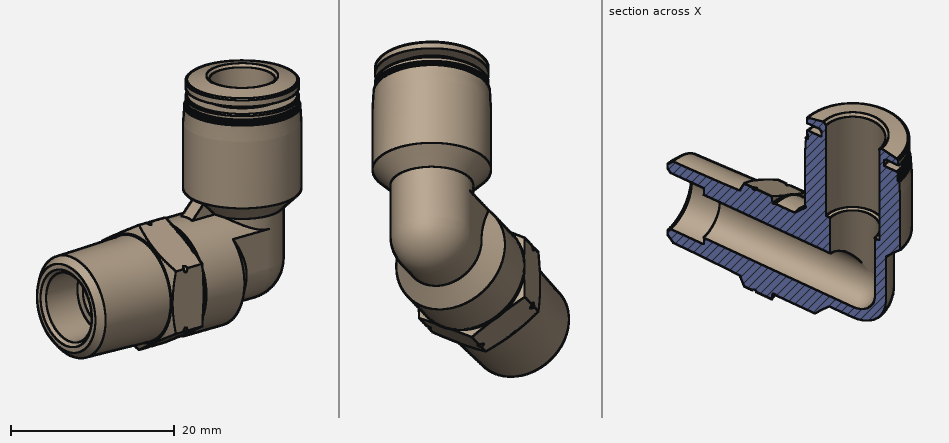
import cadquery as cq
import math


hex_corner_radius = 16.25 / 2

passage_radius = 6.7 / 2
tube_bore_radius = 8.0 / 2
tube_bore_mouth_radius = 8.78 / 2
tube_bore_floor_z = 9.05
thread_bore_radius = 8.78 / 2
thread_bore_mouth_radius = 4.85
thread_bore_depth = 5.45

overall_top_z = 31.8 - hex_corner_radius
ring_radius = 13.9 / 2
ring_edge_z = 23.0
ring_edge_chamfer = 0.2
ring_bottom_z = 22.17
ring_fillet_radius = 5.05
ring_fillet_bottom_z = 21.93
neck_radius = 9.5 / 2
cap_top_z = 21.15
cap_radius = ring_radius
cap_chamfer = 0.2
cap_groove_top_z = 20.45
cap_groove_width = 0.2
groove_depth = 0.15
cap_bottom_z = 19.95
socket_top_z = 19.78
socket_top_radius = 7.12
socket_taper_bottom_z = 17.65
socket_radius = 14.5 / 2
socket_bottom_z = 9.05
elbow_radius = 5.08
elbow_top_z = socket_bottom_z - (socket_radius - elbow_radius)

body_radius = socket_radius
body_start = 5.7
body_cone_start = body_start - (body_radius - elbow_radius)
body_end = 11.75
body_relief_radius = 7.12
gusset_width = 2.1
gusset_reach = 15.97

hex_start = 12.05
hex_end = 17.03
hex_back_radius = 7.12
hex_back_chamfer = 0.18
hex_front_radius = 13.8 / 2
hex_front_chamfer = 0.6
corner_groove_position = 14.88
corner_groove_radius = 0.3
corner_groove_depth = 0.23
thread_start_radius = 6.75
thread_end_radius = 6.45
thread_chamfer = 0.88
part_end = 35.25 - socket_radius


def revolve_z(points):
    """Revolve (radius, z) points, closed along the axis, about Z."""
    outline = [(0, points[0][1])] + points + [(0, points[-1][1])]
    return cq.Workplane("XZ").polyline(outline).close().revolve(360, (0, 0), (0, 1))


def revolve_y(points):
    """Revolve (radius, distance toward -Y) points about Y."""
    return revolve_z(points).rotate((0, 0, 0), (1, 0, 0), 90)


def make_socket():
    cap_groove_bottom_z = cap_groove_top_z - cap_groove_width
    return revolve_z([
        (elbow_radius, 0),
        (elbow_radius, elbow_top_z),
        (socket_radius, socket_bottom_z),
        (socket_radius, socket_taper_bottom_z),
        (socket_top_radius, socket_top_z),
        (cap_radius - groove_depth, socket_top_z),
        (cap_radius - groove_depth, cap_bottom_z),
        (cap_radius, cap_bottom_z),
        (cap_radius, cap_groove_bottom_z),
        (cap_radius - groove_depth, cap_groove_bottom_z),
        (cap_radius - groove_depth, cap_groove_top_z),
        (cap_radius, cap_groove_top_z),
        (cap_radius, cap_top_z - cap_chamfer),
        (cap_radius - cap_chamfer, cap_top_z),
        (neck_radius, cap_top_z),
        (neck_radius, ring_fillet_bottom_z),
        (ring_fillet_radius, ring_bottom_z),
        (ring_radius, ring_bottom_z),
        (ring_radius, ring_edge_z),
        (ring_radius - ring_edge_chamfer, ring_edge_z + ring_edge_chamfer),
        (tube_bore_mouth_radius, overall_top_z),
    ])


def make_body():
    """Elbow ball, round horizontal body and the flat-sided saddle over the elbow."""
    barrel = revolve_y([
        (elbow_radius, 0),
        (elbow_radius, body_cone_start),
        (body_radius, body_start),
        (body_radius, body_end),
        (body_relief_radius, body_end),
        (body_relief_radius, hex_start),
    ])
    saddle = revolve_y([(body_radius, 0), (body_radius, body_start)])
    saddle_limits = cq.Workplane("XY").box(
        2 * elbow_radius, body_start, body_radius, centered=(True, False, False)
    ).translate((0, -body_start, 0))
    return barrel.union(saddle.intersect(saddle_limits)).union(cq.Workplane("XY").sphere(elbow_radius))


def make_gusset():
    """Rib with a 45 degree face joining the socket to the horizontal body."""
    outline = [
        (0, 0),
        (-gusset_reach, 0),
        (socket_bottom_z - gusset_reach, socket_bottom_z),
        (-elbow_radius, elbow_top_z),
        (0, elbow_top_z),
    ]
    return cq.Workplane("YZ").polyline(outline).close().extrude(gusset_width / 2, both=True)


def make_hexagon():
    """Hexagon with turned chamfers and a round groove that only reaches its corners."""
    corners = [
        (hex_corner_radius * math.sin(math.radians(60 * i)), hex_corner_radius * math.cos(math.radians(60 * i)))
        for i in range(6)
    ]
    prism = cq.Workplane("XZ", origin=(0, -hex_start, 0)).polyline(corners).close().extrude(hex_end - hex_start)
    chamfer_envelope = revolve_y([
        (hex_back_radius, hex_start),
        (hex_corner_radius, hex_start + hex_back_chamfer),
        (hex_corner_radius, hex_end - hex_front_chamfer),
        (hex_front_radius, hex_end),
    ])
    groove_center_radius = hex_corner_radius + corner_groove_radius - corner_groove_depth
    corner_groove = cq.Solid.makeTorus(
        groove_center_radius, corner_groove_radius, cq.Vector(0, -corner_groove_position, 0), cq.Vector(0, 1, 0)
    )
    return prism.intersect(chamfer_envelope).cut(cq.Workplane(corner_groove))


def make_thread_end():
    return revolve_y([
        (thread_start_radius, hex_end),
        (thread_end_radius, part_end - thread_chamfer),
        (thread_end_radius - thread_chamfer, part_end),
    ])


def make_bores():
    """Both stepped bores, meeting in a ball at the elbow."""
    tube_chamfer = tube_bore_mouth_radius - tube_bore_radius
    tube_bore = revolve_z([
        (passage_radius, 0),
        (passage_radius, tube_bore_floor_z),
        (tube_bore_radius, tube_bore_floor_z),
        (tube_bore_radius, overall_top_z - tube_chamfer),
        (tube_bore_mouth_radius, overall_top_z),
    ])
    thread_bore_floor = part_end - thread_bore_depth
    thread_bore_chamfer = thread_bore_mouth_radius - thread_bore_radius
    thread_bore = revolve_y([
        (passage_radius, 0),
        (passage_radius, thread_bore_floor),
        (thread_bore_radius, thread_bore_floor),
        (thread_bore_radius, part_end - thread_bore_chamfer),
        (thread_bore_mouth_radius, part_end),
    ])
    return tube_bore.union(thread_bore).union(cq.Workplane("XY").sphere(passage_radius))


solid_body = make_body().union(make_socket()).union(make_gusset())
solid_body = solid_body.union(make_hexagon()).union(make_thread_end())
result = solid_body.cut(make_bores())